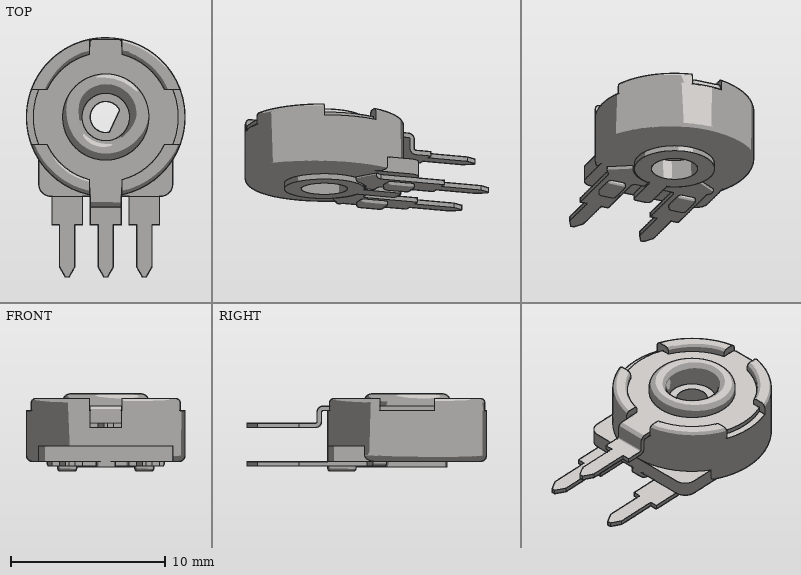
import cadquery as cq
import math


sheet = 0.3

blade_shoulder_y = -7.0
blade_taper_y = -9.72
blade_tip_y = -10.39
blade_width = 1.0
blade_tip_width = 0.24
side_pin_x = 2.5
side_pin_width = 2.0
contact_leg_width = 2.04

housing_radius = 5.15
seat_z = 3.3
bottom_fillet = 0.4
block_width = 8.7
block_height = 1.0
block_corner_radius = 0.8
boss_diameter = 5.2
boss_drop = 0.36
rib_width = 1.22
rib_corner_radius = 0.27
through_hole_diameter = 3.0

clip_top_z = 4.1
clip_inner_radius = 4.2
clip_fillet = 0.3
front_notch_width = 2.08
side_notch_width = 3.54

rivet_width = 1.24
rivet_length = 1.84
rivet_bottom_z = -0.62
rivet_corner_radius = 0.25
rivet_fillet = 0.18
rivet_shank_inset = 0.2

plate_radius = 4.7
plate_top_z = seat_z + sheet
rear_tab_end_y = 5.04
rear_tab_corner = 0.2
leg_drop = 1.1
bend_inner_radius = 0.1
bend_outer_radius = bend_inner_radius + sheet
leg_root_y = -4.5
leg_bend_y = -5.45

rotor_shaft_diameter = 5.4
rotor_base_z = 1.0
rotor_ring_diameter = 5.6
rotor_top_z = 4.4
rotor_fillet = 0.53
rotor_crest_width = 0.04
rotor_floor_diameter = 3.08
rotor_floor_z = 3.0
drive_hole_radius = 1.0
drive_flat_distance = 0.62
drive_flat_angle = -25

pin_clearance_diameter = 5.4
pin_wing_y = -3.2
pin_wing_end_x = 0.62
pin_wing_fillet = 0.27
pin_arm_root_y = -2.62
pin_arm_corner = (3.8, -2.2)
pin_arm_inner = (2.1, -1.17)
pin_arm_roll_radius = 0.2
pin_wing_roll_radius = 0.1


def cylinder(diameter, bottom_z, top_z):
    return cq.Workplane("XY").workplane(offset=bottom_z).circle(diameter / 2).extrude(top_z - bottom_z)


def box(width, back_y, front_y, bottom_z, top_z):
    """Block centred on X = 0 that runs from front_y back to back_y."""
    return (
        cq.Workplane("XY")
        .workplane(offset=bottom_z)
        .center(0, (back_y + front_y) / 2)
        .rect(width, back_y - front_y)
        .extrude(top_z - bottom_z)
    )


def blade(center_x, shoulder_width, root_y, bottom_z):
    """Flat terminal: a wide shoulder, a narrow blade and a tapered tip pointing to -Y."""
    right_side = [
        (shoulder_width / 2, root_y),
        (shoulder_width / 2, blade_shoulder_y),
        (blade_width / 2, blade_shoulder_y),
        (blade_width / 2, blade_taper_y),
        (blade_tip_width / 2, blade_tip_y),
    ]
    left_side = [(-x, y) for x, y in reversed(right_side)]
    outline = [(center_x + x, y) for x, y in right_side + left_side]
    return cq.Workplane("XY").workplane(offset=bottom_z).polyline(outline).close().extrude(sheet)


def rivet_center(side):
    return side * side_pin_x, -housing_radius + rivet_length / 2


def rivet_shank(side):
    return (
        cq.Workplane("XY")
        .workplane(offset=-sheet)
        .center(*rivet_center(side))
        .rect(rivet_width - 2 * rivet_shank_inset, rivet_length - 2 * rivet_shank_inset)
        .extrude(sheet)
    )


def rivet_head(side):
    return (
        cq.Workplane("XY")
        .workplane(offset=rivet_bottom_z)
        .center(*rivet_center(side))
        .rect(rivet_width, rivet_length)
        .extrude(-sheet - rivet_bottom_z)
        .edges("|Z")
        .fillet(rivet_corner_radius)
        .faces("<Z")
        .edges()
        .fillet(rivet_fillet)
    )


def make_rim_clips():
    """Ring with rounded top edges, cut by four notches into four clips over the plate's edge."""
    ring = (
        cylinder(2 * housing_radius, seat_z, clip_top_z)
        .cut(cylinder(2 * clip_inner_radius, seat_z, clip_top_z))
        .faces(">Z")
        .edges()
        .fillet(clip_fillet)
        .cut(cylinder(2 * plate_radius, seat_z, plate_top_z))
    )
    front_notches = box(front_notch_width, housing_radius, -housing_radius, seat_z, clip_top_z)
    side_notches = box(2 * housing_radius, side_notch_width / 2, -side_notch_width / 2, seat_z, clip_top_z)
    return ring.cut(front_notches).cut(side_notches)


def make_housing():
    drum = cylinder(2 * housing_radius, 0, seat_z).faces("<Z").edges().fillet(bottom_fillet)
    block = (
        box(block_width, 0, -housing_radius, 0, block_height)
        .edges("|Z and <Y")
        .fillet(block_corner_radius)
    )
    rib = box(rib_width, 0, -housing_radius, -boss_drop, 0).edges("|Z and <Y").fillet(rib_corner_radius)
    body = drum.union(block).union(rib).union(cylinder(boss_diameter, -boss_drop, 0))
    body = body.union(make_rim_clips())
    for side in (-1, 1):
        body = body.union(rivet_shank(side)).union(rivet_head(side))
    body = body.cut(cylinder(rotor_shaft_diameter, rotor_base_z, seat_z))
    return body.cut(cylinder(through_hole_diameter, -boss_drop, rotor_base_z))


def make_contact_leg():
    """Strip that leaves the plate, steps down through two bends and becomes the middle terminal."""
    wall_y = leg_bend_y - bend_outer_radius
    lower_top_z = plate_top_z - leg_drop
    lower_end_y = wall_y - bend_inner_radius
    diagonal = math.sqrt(0.5)
    outer_mid = bend_outer_radius * diagonal
    inner_mid = bend_inner_radius * diagonal
    upper_center_z = plate_top_z - bend_outer_radius
    lower_center_z = lower_top_z + bend_inner_radius
    step = (
        cq.Workplane("YZ")
        .moveTo(leg_root_y, plate_top_z)
        .lineTo(leg_bend_y, plate_top_z)
        .threePointArc((leg_bend_y - outer_mid, upper_center_z + outer_mid), (wall_y, upper_center_z))
        .lineTo(wall_y, lower_center_z)
        .threePointArc((lower_end_y + inner_mid, lower_center_z - inner_mid), (lower_end_y, lower_top_z))
        .lineTo(lower_end_y, lower_top_z - sheet)
        .threePointArc(
            (lower_end_y + outer_mid, lower_center_z - outer_mid),
            (lower_end_y + bend_outer_radius, lower_center_z),
        )
        .lineTo(wall_y + sheet, upper_center_z)
        .threePointArc((leg_bend_y - inner_mid, upper_center_z + inner_mid), (leg_bend_y, seat_z))
        .lineTo(leg_root_y, seat_z)
        .close()
        .extrude(contact_leg_width / 2, both=True)
    )
    return step.union(blade(0, contact_leg_width, lower_end_y, lower_top_z - sheet))


def make_contact_plate():
    disc = cylinder(2 * plate_radius, seat_z, plate_top_z)
    rear_tab = (
        box(contact_leg_width, rear_tab_end_y, 0, seat_z, plate_top_z)
        .edges("|Z and >Y")
        .fillet(rear_tab_corner)
    )
    plate = disc.union(rear_tab).union(make_contact_leg())
    return plate.cut(cylinder(rotor_shaft_diameter, seat_z, plate_top_z))


def make_rotor():
    """Turned shaft with a rounded ring on top of the plate, a tapered socket and a D-shaped drive hole."""
    ring_radius = rotor_ring_diameter / 2
    crest_outer = ring_radius - rotor_fillet
    crest_inner = crest_outer - rotor_crest_width
    mouth_radius = crest_inner - rotor_fillet
    fillet_z = rotor_top_z - rotor_fillet
    fillet_mid = rotor_fillet * math.sqrt(0.5)
    turned = (
        cq.Workplane("XZ")
        .moveTo(0, rotor_base_z)
        .lineTo(rotor_shaft_diameter / 2, rotor_base_z)
        .lineTo(rotor_shaft_diameter / 2, plate_top_z)
        .lineTo(ring_radius, plate_top_z)
        .lineTo(ring_radius, fillet_z)
        .threePointArc((crest_outer + fillet_mid, fillet_z + fillet_mid), (crest_outer, rotor_top_z))
        .lineTo(crest_inner, rotor_top_z)
        .threePointArc((crest_inner - fillet_mid, fillet_z + fillet_mid), (mouth_radius, fillet_z))
        .lineTo(rotor_floor_diameter / 2, rotor_floor_z)
        .lineTo(0, rotor_floor_z)
        .close()
        .revolve(360, (0, 0, 0), (0, 1, 0))
    )
    flat_cutter = (
        cq.Workplane("XY")
        .workplane(offset=rotor_base_z)
        .center(drive_flat_distance + drive_hole_radius, 0)
        .rect(2 * drive_hole_radius, 2 * drive_hole_radius)
        .extrude(rotor_floor_z - rotor_base_z)
        .rotate((0, 0, 0), (0, 0, 1), drive_flat_angle)
    )
    drive_hole = cylinder(2 * drive_hole_radius, rotor_base_z, rotor_floor_z).cut(flat_cutter)
    return turned.cut(drive_hole)


def make_side_pin(side):
    """Flat pin under the housing whose head spreads around the boss; side is -1 or +1 along X."""
    inner_x = side_pin_x - side_pin_width / 2
    outer_x = side_pin_x + side_pin_width / 2
    head = (
        cq.Workplane("XY")
        .workplane(offset=-sheet)
        .polyline(
            [
                (inner_x, pin_wing_y),
                (pin_wing_end_x, pin_wing_y),
                (pin_wing_end_x, pin_arm_inner[1]),
                pin_arm_inner,
                pin_arm_corner,
                (outer_x, pin_arm_root_y),
                (outer_x, -housing_radius),
                (inner_x, -housing_radius),
            ]
        )
        .close()
        .extrude(sheet)
        .edges(cq.selectors.NearestToPointSelector((inner_x, pin_wing_y, -sheet / 2)))
        .fillet(pin_wing_fillet)
    )
    arm_edge_middle = [(a + b) / 2 for a, b in zip(pin_arm_inner, pin_arm_corner)]
    wing_end_middle = (pin_wing_end_x, (pin_wing_y + pin_arm_inner[1]) / 2)
    for edge_middle, roll_radius in (
        (arm_edge_middle, pin_arm_roll_radius),
        (wing_end_middle, pin_wing_roll_radius),
    ):
        lower_edge = cq.selectors.NearestToPointSelector((*edge_middle, -sheet))
        head = head.edges(lower_edge).fillet(roll_radius)
    head = head.cut(cylinder(pin_clearance_diameter, -sheet, 0))
    pin = head.union(blade(side_pin_x, side_pin_width, -housing_radius, -sheet))
    pin = pin.cut(rivet_shank(1))
    return pin if side > 0 else pin.mirror("YZ")


housing = make_housing()
contact_plate = make_contact_plate()
rotor = make_rotor()
side_pins = [make_side_pin(side) for side in (-1, 1)]

result = cq.Compound.makeCompound(
    [housing.val(), contact_plate.val(), rotor.val(), *[pin.val() for pin in side_pins]]
)